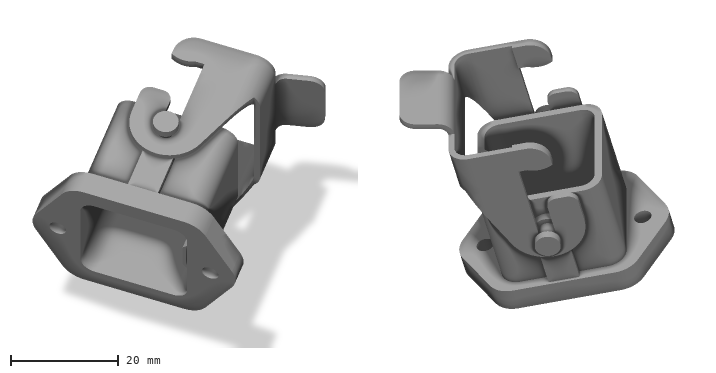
import cadquery as cq
import math


FLANGE_THICKNESS = 4.55
FLANGE_HALF_HEIGHT = 14.0
FLANGE_CORNER_RADIUS = 5.0
FLANGE_SIDE_TILT = 30.0
FLANGE_HALF_WIDTH = 20.0
SCREW_HOLE_DIAMETER = 3.3
SCREW_HOLE_X = FLANGE_HALF_WIDTH - FLANGE_CORNER_RADIUS

SLEEVE_SIZE = 23.8
SLEEVE_CORNER_RADIUS = 3.5
SLEEVE_END_Y = 23.97
OPENING_SIZE = 21.0
OPENING_CORNER_RADIUS = 2.75

LEDGE_START_Y = 2.0
LEDGE_TOP_X = 8.9
LEDGE_TOP_HALF_HEIGHT = 2.7

BOSS_WIDTH = 5.9
BOSS_CENTER_Y = 17.05
BOSS_FACE_Z = 13.45
PIN_DIAMETER = 3.0
PIN_Y = 17.5
PIN_HEAD_DIAMETER = 4.8
PIN_HEAD_THICKNESS = 1.55
PIN_END_Z = 18.25

SHEET = 1.15
LEVER_HALF_HEIGHT = 15.15
WEB_OUTER_X = 13.7
WEB_START_Y = 31.0
WEB_END_Y = 39.45
LEVER_BEND_RADIUS = 3.85
HEEL_RADIUS = 7.5
HEEL_CENTER_Y = 19.6
SLOT_WIDTH = 3.17
PRONG_END_Y = 26.05
PRONG_CORNER_RADIUS = 1.95
HOOK_TIP_X = -4.95
HOOK_TIP_Y = 34.4
HOOK_CORNER_RADIUS = 4.0
HOOK_UNDERSIDE_Y = 34.2
HOOK_BELLY_END_X = -0.1
HOOK_BELLY_RADIUS = 5.3
HOOK_THICKNESS = 1.7

TAB_WIDTH = 14.9
TAB_BEND_DIAMETER = 6.2
TAB_BEND_RADIUS = TAB_BEND_DIAMETER / 2
TAB_SLOPE = 13.0
TAB_STRAIGHT_LENGTH = 7.15
TAB_CORNER_RADIUS = 3.0

BOTH_SIDES = (1, -1)
COS_45 = math.sqrt(0.5)


def prism_along_y(outline, start_y, end_y):
    """Extrude an XZ outline, drawn on the plane Y = 0, from start_y to end_y."""
    return outline.extrude(start_y - end_y).translate((0, start_y, 0))


def sleeve_block(size, corner_radius):
    """Square block with rounded long edges, from the flange face to the sleeve end."""
    block = prism_along_y(cq.Workplane("XZ").rect(size, size), 0, SLEEVE_END_Y)
    return block.edges("|Y").fillet(corner_radius)


def flange():
    tilt = math.radians(FLANGE_SIDE_TILT)
    tip_x = SCREW_HOLE_X + FLANGE_CORNER_RADIUS / math.cos(tilt)
    shoulder_x = tip_x - FLANGE_HALF_HEIGHT * math.tan(tilt)
    hexagon = cq.Workplane("XZ").polyline([
        (tip_x, 0),
        (shoulder_x, FLANGE_HALF_HEIGHT),
        (-shoulder_x, FLANGE_HALF_HEIGHT),
        (-tip_x, 0),
        (-shoulder_x, -FLANGE_HALF_HEIGHT),
        (shoulder_x, -FLANGE_HALF_HEIGHT),
    ]).close()
    plate = prism_along_y(hexagon, 0, FLANGE_THICKNESS)
    return plate.edges("|Y").fillet(FLANGE_CORNER_RADIUS)


def screw_holes():
    centers = [(side * SCREW_HOLE_X, 0) for side in BOTH_SIDES]
    circles = cq.Workplane("XZ").pushPoints(centers).circle(SCREW_HOLE_DIAMETER / 2)
    return prism_along_y(circles, 0, FLANGE_THICKNESS)


def inner_ledge():
    """Ledge with 45 degree flanks along the inside of the +X wall, rooted in the wall."""
    root_x = (SLEEVE_SIZE + OPENING_SIZE) / 4
    root_half_height = LEDGE_TOP_HALF_HEIGHT + root_x - LEDGE_TOP_X
    outline = cq.Workplane("XZ").polyline([
        (LEDGE_TOP_X, LEDGE_TOP_HALF_HEIGHT),
        (root_x, root_half_height),
        (root_x, -root_half_height),
        (LEDGE_TOP_X, -LEDGE_TOP_HALF_HEIGHT),
    ]).close()
    return prism_along_y(outline, LEDGE_START_Y, SLEEVE_END_Y)


def pivot():
    """Boss with a rounded end and headed pin on the +Z side of the sleeve."""
    wall_z = OPENING_SIZE / 2
    boss = (
        cq.Workplane("XY", origin=(0, 0, wall_z))
        .moveTo(-BOSS_WIDTH / 2, 0)
        .lineTo(BOSS_WIDTH / 2, 0)
        .lineTo(BOSS_WIDTH / 2, BOSS_CENTER_Y)
        .threePointArc((0, BOSS_CENTER_Y + BOSS_WIDTH / 2), (-BOSS_WIDTH / 2, BOSS_CENTER_Y))
        .close()
        .extrude(BOSS_FACE_Z - wall_z)
    )
    shank = (
        cq.Workplane("XY", origin=(0, PIN_Y, BOSS_FACE_Z))
        .circle(PIN_DIAMETER / 2)
        .extrude(PIN_END_Z - BOSS_FACE_Z)
    )
    head = (
        cq.Workplane("XY", origin=(0, PIN_Y, PIN_END_Z - PIN_HEAD_THICKNESS))
        .circle(PIN_HEAD_DIAMETER / 2)
        .extrude(PIN_HEAD_THICKNESS)
    )
    return boss.union(shank).union(head)


def make_housing():
    upper_pivot = pivot()
    return (
        flange()
        .union(sleeve_block(SLEEVE_SIZE, SLEEVE_CORNER_RADIUS))
        .union(upper_pivot)
        .union(upper_pivot.mirror("XY"))
        .cut(sleeve_block(OPENING_SIZE, OPENING_CORNER_RADIUS))
        .cut(screw_holes())
        .union(inner_ledge())
    )


def lever_profile():
    """Plan outline of the lever, extruded over its full height."""
    edge_x = WEB_OUTER_X - SHEET
    edge_y = WEB_START_Y - HEEL_CENTER_Y
    heel_distance = math.hypot(edge_x, edge_y)
    tangent_angle = math.atan2(edge_y, edge_x) - math.acos(HEEL_RADIUS / heel_distance)
    tangent_point = (
        HEEL_RADIUS * math.cos(tangent_angle),
        HEEL_CENTER_Y + HEEL_RADIUS * math.sin(tangent_angle),
    )
    slot_half = SLOT_WIDTH / 2
    hook_arc_x = HOOK_TIP_X + HOOK_CORNER_RADIUS
    hook_arc_y = WEB_END_Y - HOOK_CORNER_RADIUS
    hook_diagonal = HOOK_CORNER_RADIUS * COS_45
    prong_arc_y = PRONG_END_Y - PRONG_CORNER_RADIUS
    prong_inset = PRONG_CORNER_RADIUS * (1 - COS_45)
    return (
        cq.Workplane("XY", origin=(0, 0, -LEVER_HALF_HEIGHT))
        .moveTo(-HEEL_RADIUS, HEEL_CENTER_Y)
        .threePointArc((0, HEEL_CENTER_Y - HEEL_RADIUS), tangent_point)
        .lineTo(edge_x, WEB_START_Y)
        .lineTo(WEB_OUTER_X, WEB_START_Y)
        .lineTo(WEB_OUTER_X, WEB_END_Y)
        .lineTo(hook_arc_x, WEB_END_Y)
        .threePointArc(
            (hook_arc_x - hook_diagonal, hook_arc_y + hook_diagonal),
            (HOOK_TIP_X, hook_arc_y),
        )
        .lineTo(HOOK_TIP_X, HOOK_TIP_Y)
        .radiusArc((HOOK_BELLY_END_X, HOOK_UNDERSIDE_Y), -HOOK_BELLY_RADIUS)
        .lineTo(slot_half, HOOK_UNDERSIDE_Y)
        .lineTo(slot_half, PIN_Y)
        .threePointArc((0, PIN_Y - slot_half), (-slot_half, PIN_Y))
        .lineTo(-slot_half, prong_arc_y)
        .threePointArc(
            (-slot_half - prong_inset, PRONG_END_Y - prong_inset),
            (-slot_half - PRONG_CORNER_RADIUS, PRONG_END_Y),
        )
        .lineTo(-HEEL_RADIUS + PRONG_CORNER_RADIUS, PRONG_END_Y)
        .threePointArc(
            (-HEEL_RADIUS + prong_inset, PRONG_END_Y - prong_inset),
            (-HEEL_RADIUS, prong_arc_y),
        )
        .close()
        .extrude(2 * LEVER_HALF_HEIGHT)
    )


def channel_block(inset, bend_radius):
    """Block with two rounded +X edges, inset from the lever's outer faces on +X and both Z sides."""
    end_x = WEB_OUTER_X - inset
    length_x = 2 * WEB_OUTER_X
    height = 2 * (LEVER_HALF_HEIGHT - inset)
    outline = cq.Workplane("XZ", origin=(end_x - length_x / 2, 0, 0)).rect(length_x, height)
    block = prism_along_y(outline, 0, WEB_END_Y)
    return block.edges("|Y and >X").fillet(bend_radius)


def hook_pads():
    """Boxes that thicken both hooks inwards, up to the line of the slot wall.

    They start at the prong's end, clear of the hook, and are trimmed by the lever profile.
    """
    pad_corner = (HOOK_TIP_X, PRONG_END_Y, LEVER_HALF_HEIGHT - HOOK_THICKNESS)
    pad = cq.Workplane("XY", origin=pad_corner).box(
        SLOT_WIDTH / 2 - HOOK_TIP_X,
        WEB_END_Y - PRONG_END_Y,
        HOOK_THICKNESS,
        centered=False,
    )
    return pad.union(pad.mirror("XY"))


def thumb_tab():
    """Tab that leaves the web along Y, bends towards +X and ends in two rounded corners."""
    slope = math.radians(TAB_SLOPE)
    center_x = WEB_OUTER_X - SHEET + TAB_BEND_RADIUS
    inner_radius = TAB_BEND_RADIUS - SHEET

    def bend_point(radius, angle, along=0):
        """Point on the bend at an angle from +X, moved along the straight part."""
        return (
            center_x + radius * math.cos(angle) + along * math.cos(slope),
            WEB_END_Y + radius * math.sin(angle) + along * math.sin(slope),
        )

    bend_end = slope + math.pi / 2
    bend_middle = (math.pi + bend_end) / 2
    tab = (
        cq.Workplane("XY", origin=(0, 0, -TAB_WIDTH / 2))
        .moveTo(*bend_point(TAB_BEND_RADIUS, math.pi))
        .threePointArc(bend_point(TAB_BEND_RADIUS, bend_middle), bend_point(TAB_BEND_RADIUS, bend_end))
        .lineTo(*bend_point(TAB_BEND_RADIUS, bend_end, TAB_STRAIGHT_LENGTH))
        .lineTo(*bend_point(inner_radius, bend_end, TAB_STRAIGHT_LENGTH))
        .lineTo(*bend_point(inner_radius, bend_end))
        .threePointArc(bend_point(inner_radius, bend_middle), bend_point(inner_radius, math.pi))
        .close()
        .extrude(TAB_WIDTH)
    )
    tip_edges = tab.faces(">X").edges("not |Z")
    return tip_edges.fillet(TAB_CORNER_RADIUS)


def make_lever():
    outer = channel_block(0, LEVER_BEND_RADIUS)
    inner = channel_block(SHEET, LEVER_BEND_RADIUS - SHEET)
    sheet = outer.cut(inner).union(hook_pads())
    return lever_profile().intersect(sheet).union(thumb_tab())


housing = make_housing()
lever = make_lever()

result = cq.Compound.makeCompound([housing.solids().val(), lever.solids().val()])